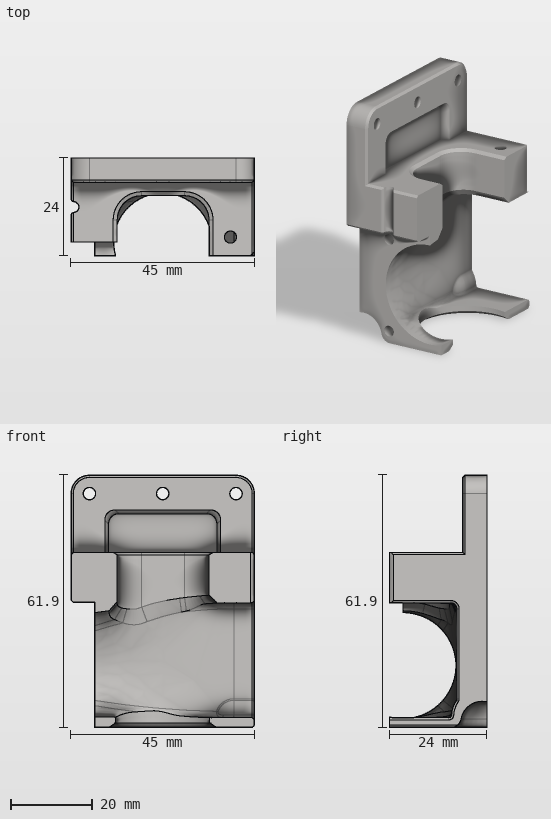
import cadquery as cq
import math


width = 45.0
depth = 24.0
height = 61.9

plate_depth = 6.0
plate_corner_radius = 4.5
plate_hole_diameter = 3.0
plate_hole_inset = 4.5
edge_chamfer = 0.55

pocket_side = 8.3
pocket_top = 53.35
pocket_corner_radius = 2.8
pocket_recess = 2.0
pocket_draft = 0.9

block_bottom = 30.7
block_top = 42.95
left_leg_depth = 20.7
slot_left = 11.3
slot_right = 33.85
slot_back_depth = 9.3
slot_corner_radius = 6.0
slot_top_chamfer_width = 1.0
slot_top_chamfer_height = 0.6
slot_bottom_chamfer = 2.0
right_corner_chamfer = 1.0
leg_hole_x = 39.1
leg_hole_depth = 19.45
leg_hole_diameter = 3.0

groove_depth = 12.1
groove_inset = 0.6
groove_radius = 1.3
groove_edge_fillet = 0.8

body_left = 5.8
fan_depth = left_leg_depth
fan_z = 15.15
fan_radius = 13.0
fan_hole_diameter = 2.8
fan_hole_spacing = 24.0
fan_hole_length = 5.0
mouth_left = 39.9
mouth_back_depth = 7.4
mouth_bottom = 2.4
mouth_top = 30.6
mouth_corner_radius = 1.5
inlet_corner_angle = 4.0

outlet_x = width / 2
outlet_radius = 12.0
outlet_chamfer_radius = 13.6
outlet_chamfer_height = 1.1

scoop_depth = 1.2
scoop_z = 1.1
scoop_radius = 5.3
scoop_length = width - mouth_left
scoop_lip_radius = 2.5
bulge_z = 2.5
bulge_radius = 7.6
bulge_fillet = 0.7


def box(x0, x1, depth0, depth1, z0, z1):
    """Box given by its X, depth and Z limits."""
    size = (x1 - x0, depth1 - depth0, z1 - z0)
    return cq.Workplane("XY").box(*size, centered=False).translate((x0, -depth1, z0))


def rod_x(x0, length, rod_depth, z, radius):
    """Cylinder running along +X from x0."""
    return cq.Workplane("YZ", origin=(x0, -rod_depth, z)).circle(radius).extrude(length)


def rod_z(x, rod_depth, z0, length, radius):
    """Cylinder running along +Z from z0."""
    return cq.Workplane("XY", origin=(x, -rod_depth, z0)).circle(radius).extrude(length)


def within(limits):
    """Selector for edges lying wholly inside X, depth and Z limits."""
    x0, x1, depth0, depth1, z0, z1 = limits
    slack = 0.03
    low = (x0 - slack, -depth1 - slack, z0 - slack)
    high = (x1 + slack, -depth0 + slack, z1 + slack)
    return cq.selectors.BoxSelector(low, high, boundingbox=True)


def mounting_plate():
    """Plate with rounded top corners, three screw holes and a drafted front pocket."""
    plate = box(0, width, 0, plate_depth, block_bottom, height)
    plate = plate.edges("|Y and >Z").fillet(plate_corner_radius)
    plate = plate.faces("<Y").edges().chamfer(edge_chamfer)
    hole_z = height - plate_hole_inset
    for x in (plate_hole_inset, width / 2, width - plate_hole_inset):
        hole = cq.Workplane("XZ", origin=(x, 0, hole_z)).circle(plate_hole_diameter / 2)
        plate = plate.cut(hole.extrude(plate_depth))
    pocket_size = (width - 2 * pocket_side, pocket_top - block_bottom)
    pocket_centre = (width / 2, -plate_depth, (pocket_top + block_bottom) / 2)
    pocket = cq.Workplane("XZ", origin=pocket_centre).rect(*pocket_size)
    draft = math.degrees(math.atan2(pocket_draft, pocket_recess))
    pocket = pocket.extrude(-pocket_recess, taper=draft)
    pocket = pocket.edges("not(#Y)").edges(">Z").fillet(pocket_corner_radius)
    return plate.cut(pocket)


def block():
    """Block with a shortened left leg and a cable groove in its left end."""
    solid = box(0, width, 0, depth, block_bottom, block_top)
    solid = solid.cut(box(0, outlet_x, left_leg_depth, depth, block_bottom, block_top))
    solid = solid.edges("|Z and >X and <Y").chamfer(right_corner_chamfer)
    solid = solid.edges("|Y and (<X or >X) and >Z").chamfer(edge_chamfer)
    groove = rod_z(groove_inset, groove_depth, block_bottom, block_top - block_bottom, groove_radius)
    solid = solid.cut(groove)
    groove_front = groove_depth + groove_radius
    groove_edges = within((0, 0, groove_depth - groove_radius, groove_front, block_bottom, block_top))
    return solid.edges("|Z").edges(groove_edges).fillet(groove_edge_fillet)


def duct_section(x, squareness):
    """Duct outline at x, blended from the fan circle (0) to the rounded square mouth (1)."""
    half_y = fan_depth - mouth_back_depth
    half_z = (mouth_top - mouth_bottom) / 2
    mouth_z = (mouth_top + mouth_bottom) / 2
    flat_y = half_y - mouth_corner_radius
    flat_z = half_z - mouth_corner_radius
    bow = mouth_corner_radius * math.sqrt(0.5)

    quarter = [
        (0, half_y, 0),
        (45 - inlet_corner_angle, half_y, flat_z),
        (45, flat_y + bow, flat_z + bow),
        (45 + inlet_corner_angle, flat_y, half_z),
        (90, 0, half_z),
    ]

    def blend(angle, mouth_y, mouth_dz):
        circle_y = fan_radius * math.cos(math.radians(angle))
        circle_z = fan_z + fan_radius * math.sin(math.radians(angle))
        y = circle_y + (mouth_y - circle_y) * squareness
        z = circle_z + (mouth_z + mouth_dz - circle_z) * squareness
        return (y, z)

    upper_right = quarter[1:]
    upper_left = [(180 - angle, -y, z) for angle, y, z in reversed(quarter[:4])]
    lower_left = [(180 + angle, -y, -z) for angle, y, z in quarter[1:]]
    lower_right = [(-angle, y, -z) for angle, y, z in reversed(quarter[:4])]
    points = [blend(*p) for p in upper_right + upper_left + lower_left + lower_right]

    section = cq.Workplane("YZ", origin=(x, -fan_depth, 0)).moveTo(*points[0])
    ends = points[2::2] + points[:1]
    for index, (middle, end) in enumerate(zip(points[1::2], ends)):
        is_flat_side = index % 2 == 1 and squareness == 1
        section = section.lineTo(*end) if is_flat_side else section.threePointArc(middle, end)
    return section.wire()


def duct():
    """Taper that meets the straight mouth tangentially."""
    sections = []
    for travel in (0, 0.5, 1):
        x = body_left + travel * (mouth_left - body_left)
        sections.append(duct_section(x, 1 - (1 - travel) ** 2).val())
    taper = cq.Workplane(cq.Solid.makeLoft(sections, False))
    mouth = duct_section(mouth_left, 1).extrude(width - mouth_left)
    return taper.union(mouth)


def capsule(x0, length, rod_depth, z, radius):
    """Rod along +X from x0 with a rounded end bulging to -X."""
    bow = radius * math.sqrt(0.5)
    profile = (
        cq.Workplane("XY", origin=(x0, -rod_depth, z))
        .moveTo(-radius, 0).threePointArc((-bow, bow), (0, radius))
        .lineTo(length, radius).lineTo(length, 0).close()
    )
    return profile.revolve(360, (0, 0, 0), (1, 0, 0))


def slot():
    """U-shaped cutter, open to the front, flared at the top of the block."""
    length = 2 * depth
    centre_x = (slot_left + slot_right) / 2
    centre_y = -slot_back_depth - length / 2

    def prism(z0, z1, flare_width):
        outline = cq.Workplane("XY", origin=(centre_x, centre_y, z0)).sketch()
        outline = outline.rect(slot_right - slot_left, length)
        outline = outline.vertices().fillet(slot_corner_radius).finalize()
        flare_angle = math.degrees(math.atan2(flare_width, z1 - z0))
        return outline.extrude(z1 - z0, taper=-flare_angle)

    flare_bottom = block_top - slot_top_chamfer_height
    walls = prism(fan_z, block_top, 0)
    return walls.union(prism(flare_bottom, block_top, slot_top_chamfer_width))


def outlet():
    """Vertical bore through the floor, widened by a cone underneath."""
    bore = rod_z(outlet_x, fan_depth, 0, fan_z, outlet_radius)
    cone = cq.Solid.makeCone(
        outlet_chamfer_radius, outlet_radius, outlet_chamfer_height, cq.Vector(outlet_x, -fan_depth, 0)
    )
    return bore.union(cq.Workplane(cone))


def wall_bulge():
    """Thickening of the duct wall around the right scoop."""
    bulge = capsule(mouth_left, width - mouth_left, scoop_depth, bulge_z, bulge_radius)
    buried_depth = mouth_back_depth / 2
    buried_z = mouth_bottom / 2
    return bulge.intersect(box(outlet_x, width, buried_depth, depth, buried_z, block_bottom))


body = box(body_left, width, 0, depth, 0, block_bottom)
body = body.cut(box(body_left, outlet_x, left_leg_depth, depth, fan_z, block_bottom))
result = body.union(block()).cut(duct()).cut(slot())

slot_rim = within((slot_left, slot_right, slot_back_depth, depth, fan_z, block_bottom))
result = result.edges(slot_rim).chamfer(slot_bottom_chamfer)

result = result.union(wall_bulge())
bulge_front = scoop_depth + bulge_radius + bulge_fillet
bulge_top = bulge_z + bulge_radius
bulge_left = mouth_left - bulge_radius
bulge_rim = within((bulge_left, width, mouth_back_depth, bulge_front, mouth_bottom, bulge_top))
mouth_seam = within((mouth_left, mouth_left, 0, depth, 0, height))
right_end = within((width, width, 0, depth, 0, height))
result = result.edges(bulge_rim - mouth_seam - right_end).fillet(bulge_fillet)

result = result.union(mounting_plate()).cut(outlet())

block_left_edge = within((0, 0, 0, depth, block_bottom, block_bottom))
result = result.edges(block_left_edge).chamfer(edge_chamfer)
mouth_edges = within((width, width, mouth_back_depth, depth, mouth_bottom, mouth_top))
base_edge = within((width, width, 0, depth, 0, 0))
result = result.edges(mouth_edges + base_edge).chamfer(edge_chamfer)

right_scoop = capsule(width - scoop_length, scoop_length, scoop_depth, scoop_z, scoop_radius)
left_scoop = right_scoop.mirror("YZ", ((width + body_left) / 2, 0, 0))
result = result.cut(right_scoop).cut(left_scoop)
rim_front = scoop_depth + math.sqrt(scoop_radius ** 2 - scoop_z ** 2)
base_corner_edges = within((body_left, width, 0, 0, 0, 0)) + within((body_left, body_left, 0, depth, 0, 0))
scoop_rims = within((body_left, width, 0, rim_front, 0, 0)) - base_corner_edges
right_end_edges = within((width - edge_chamfer, width, 0, depth, 0, 0))
result = result.edges(scoop_rims - right_end_edges).fillet(scoop_lip_radius)

fan_hole_depth = fan_depth - fan_hole_spacing / 2
for z in (fan_z - fan_hole_spacing / 2, fan_z + fan_hole_spacing / 2):
    result = result.cut(rod_x(body_left, fan_hole_length, fan_hole_depth, z, fan_hole_diameter / 2))
leg_hole_length = block_top - mouth_top
result = result.cut(rod_z(leg_hole_x, leg_hole_depth, mouth_top, leg_hole_length, leg_hole_diameter / 2))